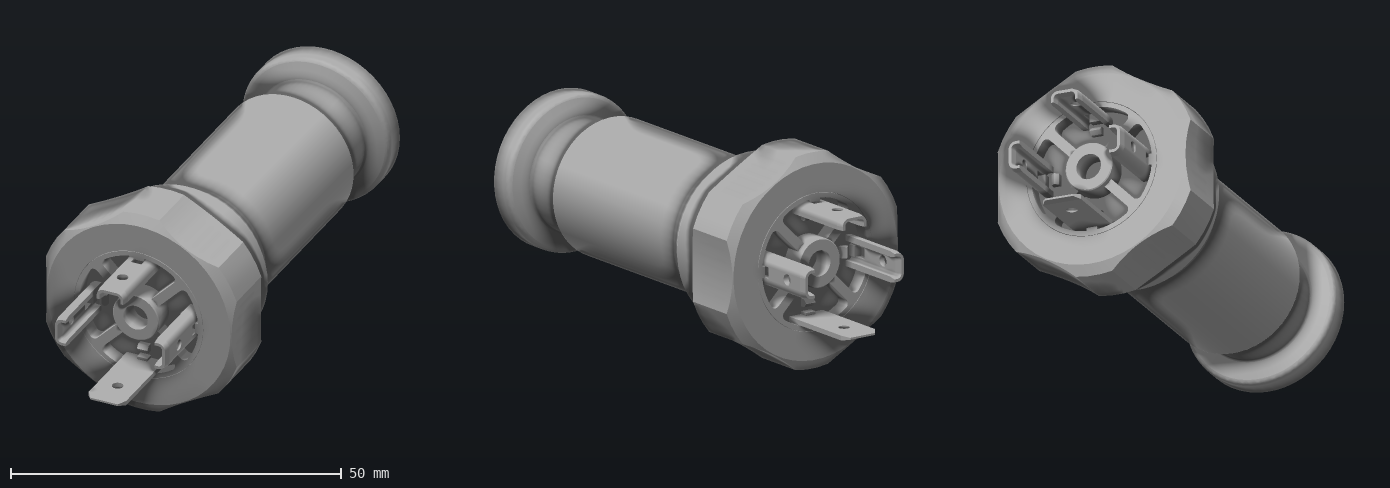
import cadquery as cq
import math


total_length = 76.9
blade_reach = 12.0
nut_length = 10.4
collar_end = 16.9
tube_start = 21.3
tube_end = 52.1
flange_start = 60.05
flange_end = total_length - blade_reach

collar_radius = 27.0 / 2
tube_radius = 22.0 / 2
neck_radius = 18.0 / 2
flange_radius = 24.9 / 2
flange_cone_angle = 20.0
flange_edge_radius = 1.0
neck_fillet = 0.45
tube_edge_fillet = 0.4
shoulder_sag = 0.2

nut_sides = 6
nut_corner_radius = 34.0 / 2
nut_half_width = 32.0 / 2
flat_hollow = 0.45
nut_face_radius = 15.4
nut_chamfer_length = 0.9

nut_bore_radius = 21.7 / 2
insert_radius = 21.5 / 2
hub_radius = 7.8 / 2
hub_reach = 1.1
hub_chamfer = 0.15
hub_hole_radius = 4.1 / 2
pocket_radius = 10.0
pocket_depth = 2.45
pocket_corner_radius = 0.85
spoke_width = 1.5
rib_width = 1.8
rib_inner_radius = 8.15
rib_step_depth = 1.15
latch_inner_radius = 6.15
latch_outer_radius = 7.4
latch_height = 0.8
latch_tip_height = 0.5

contact_hole_diameter = 1.8
contact_outer_radius = 9.45
tip_length = 1.15
pin_reach = 10.0
pin_width = 4.9
pin_height = 2.0
pin_thickness = 0.9
pin_bend_radius = 1.4
pin_tip_inset = 0.2
pin_hole_reach = 5.6
pin_window_reach = 0.9
blade_width = 6.3
blade_thickness = 0.8
blade_center_radius = 9.0
blade_tip_width = 4.6
blade_tip_thickness = 0.3
blade_hole_reach = 7.3

AXIS_START = (0, 0, 0)
AXIS_END = (0, 1, 0)


def section(y):
    """Workplane across the axis at height y; extrusion runs toward -Y."""
    return cq.Workplane("XZ", origin=(0, y, 0))


def turn(profile):
    """Solid of revolution about Y from a closed (radius, y) profile."""
    return profile.close().revolve(360, AXIS_START, AXIS_END)


def turned_about_axis(shape, angle):
    return shape.rotate(AXIS_START, AXIS_END, angle)


def radial_block(width, inner, outer, y_front, y_back):
    """Box standing on the +Z side between two distances from the axis."""
    return (
        section(y_back)
        .center(0, (inner + outer) / 2)
        .rect(width, outer - inner)
        .extrude(y_back - y_front)
    )


def make_body():
    """Collar, hollow shoulder, tube, neck and clamp flange."""
    cone_rise = (flange_radius - neck_radius) * math.tan(math.radians(flange_cone_angle))
    rim_start = flange_start + cone_rise
    shoulder_run = tube_start - collar_end
    shoulder_drop = collar_radius - tube_radius
    chord = math.hypot(shoulder_run, shoulder_drop)
    shoulder_middle = (
        (collar_radius + tube_radius) / 2 - shoulder_sag * shoulder_run / chord,
        (collar_end + tube_start) / 2 - shoulder_sag * shoulder_drop / chord,
    )
    body = turn(
        cq.Workplane("XY")
        .moveTo(0, nut_length / 2)
        .lineTo(collar_radius, nut_length / 2)
        .lineTo(collar_radius, collar_end)
        .threePointArc(shoulder_middle, (tube_radius, tube_start))
        .lineTo(tube_radius, tube_end)
        .lineTo(neck_radius, tube_end)
        .lineTo(neck_radius, flange_start)
        .lineTo(flange_radius, rim_start)
        .lineTo(flange_radius, flange_end)
        .lineTo(0, flange_end)
    )

    def circle_edge(radius, y):
        """Selector for the circular edge of this radius at height y."""
        margin = 0.1
        return cq.selectors.BoxSelector(
            (-radius - margin, y - margin, -radius - margin),
            (radius + margin, y + margin, radius + margin),
            boundingbox=True,
        )

    body = body.edges(circle_edge(flange_radius, rim_start)).fillet(flange_edge_radius)
    body = body.edges(circle_edge(neck_radius, tube_end)).fillet(neck_fillet)
    body = body.edges(circle_edge(neck_radius, flange_start)).fillet(neck_fillet)
    return body.edges(circle_edge(tube_radius, tube_end)).fillet(tube_edge_fillet)


def make_nut():
    """Hexagon with two flats facing +X and -X, chamfered at both faces."""
    corner_angle = math.acos(nut_half_width / nut_corner_radius)
    side_angle = 2 * math.pi / nut_sides

    def at(radius, angle):
        return (radius * math.cos(angle), radius * math.sin(angle))

    outline = section(nut_length).moveTo(*at(nut_corner_radius, -corner_angle))
    for side in range(nut_sides):
        middle = side * side_angle
        outline = outline.threePointArc(
            at(nut_half_width - flat_hollow, middle),
            at(nut_corner_radius, middle + corner_angle),
        ).threePointArc(
            at(nut_corner_radius, middle + side_angle / 2),
            at(nut_corner_radius, middle + side_angle - corner_angle),
        )
    prism = outline.close().extrude(nut_length)
    envelope = turn(
        cq.Workplane("XY")
        .lineTo(nut_face_radius, 0)
        .lineTo(nut_corner_radius, nut_chamfer_length)
        .lineTo(nut_corner_radius, nut_length - nut_chamfer_length)
        .lineTo(nut_face_radius, nut_length)
        .lineTo(0, nut_length)
    )
    return prism.intersect(envelope)


def make_pocket():
    """Quarter pocket on the +Z side, between two spokes."""
    wedge_tip = spoke_width / 2 * math.sqrt(2)
    wedge_end = pocket_radius
    wedge = (
        section(pocket_depth)
        .moveTo(0, wedge_tip)
        .lineTo(wedge_end, wedge_tip + wedge_end)
        .lineTo(-wedge_end, wedge_tip + wedge_end)
        .close()
        .extrude(pocket_depth)
    )
    ring = section(pocket_depth).circle(pocket_radius).circle(hub_radius).extrude(pocket_depth)
    pocket = wedge.intersect(ring)
    outer_corners = cq.selectors.BoxSelector(
        (-pocket_radius, 0, pocket_radius / 2),
        (pocket_radius, pocket_depth, pocket_radius),
    )
    return pocket.edges("|Y").edges(outer_corners).fillet(pocket_corner_radius)


def make_rib():
    """Rib that joins a contact to the pocket wall and steps down inside the contact."""
    outer = radial_block(rib_width, contact_outer_radius, insert_radius, 0, pocket_depth)
    inner = radial_block(rib_width, rib_inner_radius, contact_outer_radius, rib_step_depth, pocket_depth)
    return outer.union(inner)


def make_latch():
    """Small post on the pocket floor with a roof-shaped tip."""
    shoulder = pocket_depth - latch_height
    return (
        cq.Workplane("YZ")
        .moveTo(pocket_depth, latch_inner_radius)
        .lineTo(shoulder, latch_inner_radius)
        .lineTo(shoulder - latch_tip_height, (latch_inner_radius + latch_outer_radius) / 2)
        .lineTo(shoulder, latch_outer_radius)
        .lineTo(pocket_depth, latch_outer_radius)
        .close()
        .extrude(rib_width / 2, both=True)
    )


def make_hub():
    """Central stub standing out of the insert."""
    hub = section(0).circle(hub_radius).extrude(hub_reach)
    return hub.faces("<Y").edges().chamfer(hub_chamfer)


def make_hub_hole():
    """Blind hole in the hub, as deep as the pockets."""
    return section(pocket_depth).circle(hub_hole_radius).extrude(pocket_depth + hub_reach)


def contact_hole(reach):
    """Cross hole parallel to Z through a contact on the +Z side."""
    return (
        cq.Workplane("XY", origin=(0, -reach, hub_radius))
        .circle(contact_hole_diameter / 2)
        .extrude(insert_radius)
    )


def make_pin():
    """Channel-shaped contact on the +Z side, open toward the axis."""

    def channel(inset, y):
        """Closed channel outline at height y, thinned by the inset on both faces."""
        half = pin_width / 2 - inset
        inner_half = pin_width / 2 - pin_thickness + inset
        top = contact_outer_radius - inset
        inner_top = contact_outer_radius - pin_thickness + inset
        bottom = contact_outer_radius - pin_height
        bend = pin_bend_radius - inset
        inner_bend = pin_bend_radius - pin_thickness + inset
        return (
            section(y)
            .moveTo(-half, bottom)
            .lineTo(-half, top - bend)
            .radiusArc((-half + bend, top), bend)
            .lineTo(half - bend, top)
            .radiusArc((half, top - bend), bend)
            .lineTo(half, bottom)
            .lineTo(inner_half, bottom)
            .lineTo(inner_half, inner_top - inner_bend)
            .radiusArc((inner_half - inner_bend, inner_top), -inner_bend)
            .lineTo(-inner_half + inner_bend, inner_top)
            .radiusArc((-inner_half, inner_top - inner_bend), -inner_bend)
            .lineTo(-inner_half, bottom)
            .close()
        )

    shoulder = pin_reach - tip_length
    shank = channel(0, pocket_depth).extrude(pocket_depth + shoulder)
    tip_wires = [channel(0, -shoulder).val(), channel(pin_tip_inset, -pin_reach).val()]
    tip = cq.Workplane(cq.Solid.makeLoft(tip_wires, True))
    window = radial_block(rib_width, rib_inner_radius, insert_radius, -pin_window_reach, rib_step_depth)
    return shank.union(tip).cut(window).cut(contact_hole(pin_hole_reach))


def make_blade():
    """Flat contact on the +Z side with a tip tapered in width and thickness."""
    shoulder = blade_reach - tip_length
    blade = (
        section(pocket_depth)
        .center(0, blade_center_radius)
        .rect(blade_width, blade_thickness)
        .extrude(pocket_depth + shoulder)
    )
    tip = (
        section(-shoulder)
        .center(0, blade_center_radius)
        .rect(blade_width, blade_thickness)
        .workplane(offset=tip_length)
        .rect(blade_tip_width, blade_tip_thickness)
        .loft(ruled=True)
    )
    return blade.union(tip).cut(contact_hole(blade_hole_reach))


def make_gap():
    """Thin ring-shaped gap between the insert and the bore of the nut."""
    return section(pocket_depth).circle(nut_bore_radius).circle(insert_radius).extrude(pocket_depth)


result = make_nut().union(make_body()).cut(make_gap())

pocket_floor_details = make_rib().union(make_latch())
for quarter in range(4):
    angle = quarter * 90
    contact = make_blade() if quarter == 2 else make_pin()
    result = result.cut(turned_about_axis(make_pocket(), angle))
    result = result.union(turned_about_axis(pocket_floor_details, angle))
    result = result.union(turned_about_axis(contact, angle))
result = result.union(make_hub()).cut(make_hub_hole())